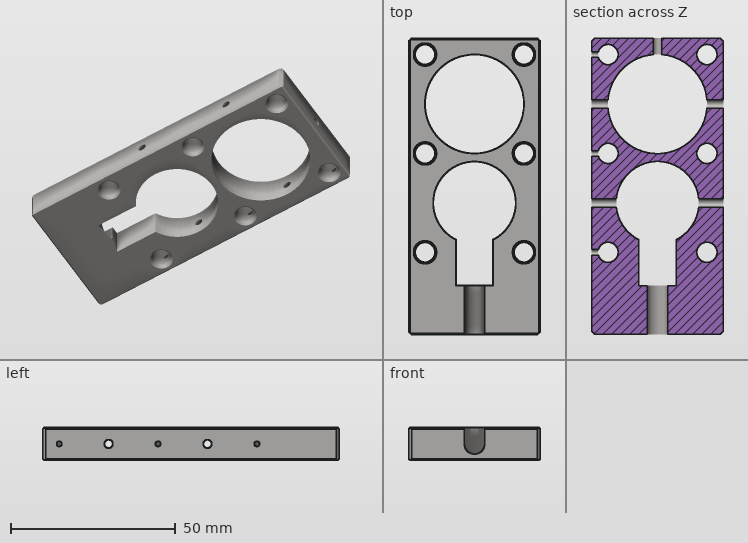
import cadquery as cq

WIDTH = 40.0
LENGTH = 90.0
THICKNESS = 10.0
RIM_CHAMFER = 0.5
CORNER_CHAMFER = 2 * RIM_CHAMFER

LARGE_BORE_DIAMETER = 30.0
LARGE_BORE_Y = 25.0
SMALL_BORE_DIAMETER = 25.0
SMALL_BORE_Y = -5.0

SLOT_WIDTH = 11.2
SLOT_END_Y = -30.0

CHANNEL_WIDTH = 6.2

ROD_PITCH = 30.0
ROD_HOLE_DIAMETER = 6.0
ROD_HOLE_CHAMFER = 0.5
ROD_ROW_COUNT = 3
ROD_ROW_Y = [LARGE_BORE_Y + ROD_PITCH / 2 - row * ROD_PITCH for row in range(ROD_ROW_COUNT)]

BORE_SCREW_DIAMETER = 2.5
ROD_SCREW_DIAMETER = 1.6


def make_plate():
    """Plate whose corner chamfers meet the top and bottom faces in a single point."""
    block = cq.Workplane("XY").box(WIDTH, LENGTH, THICKNESS)
    rimmed = block.faces("<Z or >Z").edges().chamfer(RIM_CHAMFER)
    cornered = block.edges("|Z").chamfer(CORNER_CHAMFER)
    return rimmed.intersect(cornered)


def make_bore(diameter, y):
    return cq.Workplane("XY", origin=(0, y, -THICKNESS / 2)).circle(diameter / 2).extrude(THICKNESS)


def make_slot():
    slot_length = SMALL_BORE_Y - SLOT_END_Y
    return cq.Workplane("XY").box(SLOT_WIDTH, slot_length, THICKNESS).translate(
        (0, (SMALL_BORE_Y + SLOT_END_Y) / 2, 0)
    )


def make_channel():
    """U-shaped cut whose round bottom is centred at mid-thickness."""
    radius = CHANNEL_WIDTH / 2
    top = THICKNESS / 2
    return (
        cq.Workplane("XZ", origin=(0, SLOT_END_Y, 0))
        .moveTo(-radius, top)
        .lineTo(-radius, 0)
        .threePointArc((0, -radius), (radius, 0))
        .lineTo(radius, top)
        .close()
        .extrude(LENGTH / 2 + SLOT_END_Y)
    )


def make_rod_hole(x, y):
    """Through hole with a chamfered mouth at both faces."""
    radius = ROD_HOLE_DIAMETER / 2
    mouth_radius = radius + ROD_HOLE_CHAMFER
    half = THICKNESS / 2
    straight_half = half - ROD_HOLE_CHAMFER
    return (
        cq.Workplane("XZ")
        .moveTo(0, -half)
        .lineTo(mouth_radius, -half)
        .lineTo(radius, -straight_half)
        .lineTo(radius, straight_half)
        .lineTo(mouth_radius, half)
        .lineTo(0, half)
        .close()
        .revolve(360, (0, 0, 0), (0, 1, 0))
        .translate((x, y, 0))
    )


def make_cross_hole(y):
    """Screw hole running across the plate through both X sides."""
    return cq.Workplane("YZ", origin=(-WIDTH / 2, y, 0)).circle(BORE_SCREW_DIAMETER / 2).extrude(WIDTH)


def make_end_hole():
    """Screw hole from the +Y side into the large bore."""
    return (
        cq.Workplane("XZ", origin=(0, LENGTH / 2, 0))
        .circle(BORE_SCREW_DIAMETER / 2)
        .extrude(LENGTH / 2 - LARGE_BORE_Y)
    )


def make_rod_screw_hole(y):
    """Screw hole from the -X side to the axis of the nearest rod hole."""
    depth = (WIDTH - ROD_PITCH) / 2
    return (
        cq.Workplane("YZ", origin=(-WIDTH / 2, y, 0))
        .circle(ROD_SCREW_DIAMETER / 2)
        .extrude(depth)
    )


result = make_plate()
result = result.cut(make_bore(LARGE_BORE_DIAMETER, LARGE_BORE_Y))
result = result.cut(make_bore(SMALL_BORE_DIAMETER, SMALL_BORE_Y))
result = result.cut(make_slot())
result = result.cut(make_channel())

for row_y in ROD_ROW_Y:
    for side in (-1, 1):
        result = result.cut(make_rod_hole(side * ROD_PITCH / 2, row_y))
    result = result.cut(make_rod_screw_hole(row_y))

for bore_y in (LARGE_BORE_Y, SMALL_BORE_Y):
    result = result.cut(make_cross_hole(bore_y))
result = result.cut(make_end_hole())